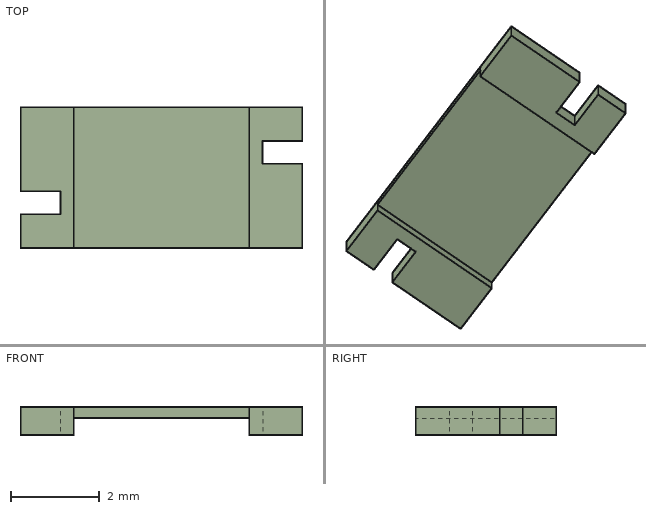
import cadquery as cq

length = 6.35
width = 3.175
height = 0.635

terminal_length = 1.2
slot_depth = 0.9
slot_width = 0.51
slot_center_from_side = 1.02

strip_length = length - 2 * terminal_length
strip_thickness = 0.25


def make_terminal():
    """Right-hand terminal block, standing on Z = 0, slotted near its +Y side."""
    block = cq.Workplane("XY").box(
        terminal_length, width, height, centered=(False, True, False)
    ).translate((strip_length / 2, 0, 0))
    slot = cq.Workplane("XY").box(
        slot_depth, slot_width, height, centered=(False, True, False)
    ).translate((length / 2 - slot_depth, width / 2 - slot_center_from_side, 0))
    return block.cut(slot)


def make_strip():
    """Flat strip whose ends butt against the inner faces of the terminals."""
    return cq.Workplane("XY").box(
        strip_length, width, strip_thickness, centered=(True, True, False)
    ).translate((0, 0, height - strip_thickness))


terminals = []
for angle in (0, 180):
    terminal = make_terminal().rotate((0, 0, 0), (0, 0, 1), angle)
    terminals.append(terminal.val())

strip = make_strip()

result = cq.Compound.makeCompound([*terminals, strip.val()])